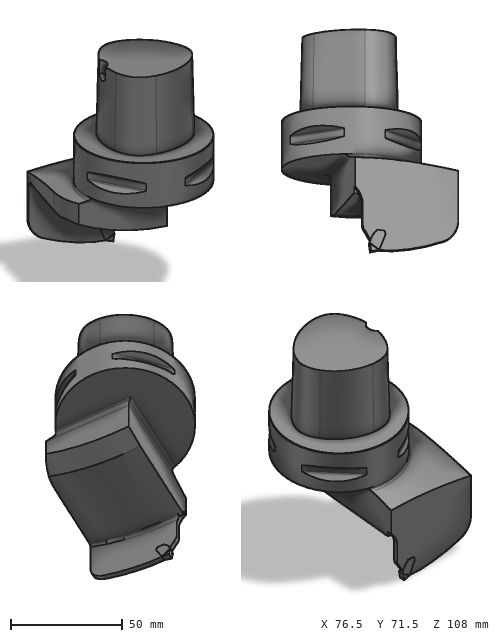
import cadquery as cq
import math


FLANGE_DIAMETER = 63.0
FLANGE_RADIUS = FLANGE_DIAMETER / 2
FLANGE_HEIGHT = 22.0
FLANGE_CHAMFER = 0.2
SLOT_COUNT = 4
SLOT_FIRST_ANGLE = 45
SLOT_CENTER_Z = -12.0
SLOT_FLOOR_WIDTH = 3.7
SLOT_FLOOR_DISTANCE = 27.9
SLOT_WALL_ANGLE = 30
SLOT_FILLET = 0.6

SHANK_HEIGHT = 38.0
SHANK_BASE_RADIUS = 22.1
SHANK_TOP_RADIUS = 21.2
LOBE_HEIGHT = 1.3
LOBE_COUNT = 3
LOBE_FIRST_ANGLE = 90
LOBE_HALF_ANGLE = 35.5
SHANK_CURVE_STEPS = 8

NOTCH_RADIUS = 5.0
NOTCH_DEPTH = 6.5
NOTCH_INNER_Y = -17.5
NOTCH_CONE_HEIGHT = 4.0

ARM_LEFT = -44.6
ARM_RIGHT = 10.7
OVERALL_WIDTH = 71.5
ARM_FRONT = FLANGE_RADIUS - OVERALL_WIDTH
ARM_BACK = 7.5
ARM_BOTTOM = -43.3
ARM_ROUND_START_X = -8.4
ARM_ROUND_RADIUS = 36.7

FLARE_RADIUS = 2.4
FLARE_SIZE = 81.0
FLARE_DEPTH = FLARE_RADIUS + 0.1
FLARE_PLATE_THICKNESS = 1.1

ROOF_ANGLE = 15
ROOF_RING_WIDTH = 0.8
ROOF_RING_HEIGHT = 1.4
ROOF_OUTER_RADIUS = 64.8

UNDERSIDE_FRONT_Z = -34.8
UNDERSIDE_LOW_Y = -1.6
RIDGE_X = -0.4
RIDGE_RISE_ANGLE = 8
RIDGE_TURN_ANGLE = 8

BLADE_THICKNESS = 2.3
BLADE_RIGHT = ARM_LEFT + BLADE_THICKNESS
BLADE_NECK_Z = -40.3
BLADE_BACK = 3.9
BLADE_ROOT_FILLET = 1.5

INSERT_HEEL = (-3.7, -69.1)
INSERT_TIP = (0.1, -70.0)
INSERT_CORNER = (0.6, -66.2)
INSERT_HEAD_OVERHANG = 0.38

CLEARANCE = 10.8
FLOOR_Z = INSERT_TIP[1] - CLEARANCE


def make_flange():
    flange = (
        cq.Workplane("XY")
        .circle(FLANGE_RADIUS)
        .extrude(-FLANGE_HEIGHT)
        .faces(">Z")
        .chamfer(FLANGE_CHAMFER)
    )
    for index in range(SLOT_COUNT):
        angle = SLOT_FIRST_ANGLE + index * 360 / SLOT_COUNT
        flange = flange.cut(make_gripper_slot().rotate((0, 0, 0), (0, 0, 1), angle))
    return flange


def make_gripper_slot():
    """Trapezoidal groove that crosses the +X side of the flange along Y."""
    depth = FLANGE_RADIUS - SLOT_FLOOR_DISTANCE
    half_floor = SLOT_FLOOR_WIDTH / 2
    half_mouth = half_floor + depth * math.tan(math.radians(SLOT_WALL_ANGLE))
    return (
        cq.Workplane("XZ")
        .polyline(
            [
                (SLOT_FLOOR_DISTANCE, SLOT_CENTER_Z - half_floor),
                (FLANGE_RADIUS, SLOT_CENTER_Z - half_mouth),
                (FLANGE_RADIUS, SLOT_CENTER_Z + half_mouth),
                (SLOT_FLOOR_DISTANCE, SLOT_CENTER_Z + half_floor),
            ]
        )
        .close()
        .extrude(FLANGE_RADIUS, both=True)
        .faces("<X")
        .edges("|Y")
        .fillet(SLOT_FILLET)
    )


def shank_point(mean_radius, angle):
    """Point of the lobed outline whose outward normal has the given angle in degrees."""
    normal = math.radians(angle)
    lobe_phase = LOBE_COUNT * math.radians(angle - LOBE_FIRST_ANGLE)
    reach = mean_radius + LOBE_HEIGHT * math.cos(lobe_phase)
    slip = -LOBE_COUNT * LOBE_HEIGHT * math.sin(lobe_phase)
    return cq.Vector(
        reach * math.cos(normal) - slip * math.sin(normal),
        reach * math.sin(normal) + slip * math.cos(normal),
        0,
    )


def shank_curve(mean_radius, start_angle, end_angle):
    """Stretch of the lobed outline between two normal angles."""
    step = (end_angle - start_angle) / SHANK_CURVE_STEPS
    angles = [start_angle + step * index for index in range(SHANK_CURVE_STEPS + 1)]
    return cq.Edge.makeSpline([shank_point(mean_radius, angle) for angle in angles])


def shank_wire(mean_radius, z):
    """Closed outline of alternating lobe and flank curves."""
    pitch = 360 / LOBE_COUNT
    edges = []
    for index in range(LOBE_COUNT):
        center = LOBE_FIRST_ANGLE + index * pitch
        lobe_start = center - LOBE_HALF_ANGLE
        lobe_end = center + LOBE_HALF_ANGLE
        for start, end in ((lobe_start, lobe_end), (lobe_end, lobe_start + pitch)):
            edges.append(shank_curve(mean_radius, start, end))
    return cq.Wire.assembleEdges(edges).translate(cq.Vector(0, 0, z))


def make_shank():
    base = shank_wire(SHANK_BASE_RADIUS, 0)
    top = shank_wire(SHANK_TOP_RADIUS, SHANK_HEIGHT)
    shank = cq.Workplane(cq.Solid.makeLoft([base, top], True))
    return shank.cut(make_notch())


def make_notch():
    shoulder_z = SHANK_HEIGHT - NOTCH_DEPTH
    return (
        cq.Workplane("XZ")
        .polyline(
            [
                (0, SHANK_HEIGHT),
                (NOTCH_RADIUS, SHANK_HEIGHT),
                (NOTCH_RADIUS, shoulder_z),
                (0, shoulder_z - NOTCH_CONE_HEIGHT),
            ]
        )
        .close()
        .revolve(360, (0, 0), (0, 1))
        .translate((0, NOTCH_INNER_Y - NOTCH_RADIUS, 0))
    )


def make_arm_block():
    """Arm outline extruded from its lowest level up to the flange."""
    arc_center_y = ARM_FRONT + ARM_ROUND_RADIUS
    corner_y = arc_center_y - math.sqrt(ARM_ROUND_RADIUS**2 - (ARM_RIGHT - ARM_ROUND_START_X) ** 2)
    return (
        cq.Workplane("XY", origin=(0, 0, ARM_BOTTOM))
        .moveTo(BLADE_RIGHT, ARM_BACK)
        .lineTo(BLADE_RIGHT, ARM_FRONT)
        .lineTo(ARM_ROUND_START_X, ARM_FRONT)
        .tangentArcPoint((ARM_RIGHT, corner_y), relative=False)
        .lineTo(ARM_RIGHT, ARM_BACK)
        .close()
        .extrude(-FLANGE_HEIGHT - ARM_BOTTOM)
    )


def make_flare():
    """Oversized quadrant below a plate, with a concave fillet along its back and right walls.

    The roof trims it, so that only the part right under the flange stays.
    """
    plate = (
        cq.Workplane("XY", origin=(0, 0, -FLANGE_HEIGHT))
        .rect(2 * FLARE_SIZE, 2 * FLARE_SIZE)
        .extrude(FLARE_PLATE_THICKNESS)
    )
    quadrant = (
        cq.Workplane("XY", origin=(ARM_RIGHT, ARM_BACK, -FLANGE_HEIGHT))
        .rect(-FLARE_SIZE, -FLARE_SIZE, centered=False)
        .extrude(-FLARE_DEPTH)
    )
    back_edge = (ARM_RIGHT - FLARE_SIZE / 2, ARM_BACK, -FLANGE_HEIGHT)
    right_edge = (ARM_RIGHT, ARM_BACK - FLARE_SIZE / 2, -FLANGE_HEIGHT)
    concave_edges = cq.selectors.SumSelector(
        cq.selectors.NearestToPointSelector(back_edge),
        cq.selectors.NearestToPointSelector(right_edge),
    )
    return plate.union(quadrant).edges(concave_edges).fillet(FLARE_RADIUS)


def make_roof():
    """Round solid under the flange whose upper side is the cone that caps the arm."""
    ring_radius = FLANGE_RADIUS + ROOF_RING_WIDTH
    ring_z = -FLANGE_HEIGHT - ROOF_RING_HEIGHT
    ring_middle = (FLANGE_RADIUS + 0.2 * ROOF_RING_WIDTH, -FLANGE_HEIGHT - 0.7 * ROOF_RING_HEIGHT)
    outer_z = ring_z - (ROOF_OUTER_RADIUS - ring_radius) * math.tan(math.radians(ROOF_ANGLE))
    return (
        cq.Workplane("XZ")
        .moveTo(0, FLOOR_Z)
        .lineTo(0, -FLANGE_HEIGHT)
        .lineTo(FLANGE_RADIUS, -FLANGE_HEIGHT)
        .threePointArc(ring_middle, (ring_radius, ring_z))
        .lineTo(ROOF_OUTER_RADIUS, outer_z)
        .lineTo(ROOF_OUTER_RADIUS, FLOOR_Z)
        .close()
        .revolve(360, (0, 0), (0, 1))
    )


def make_underside_cutter():
    """Solid below the arc that shapes the underside, longer than the arm along X."""
    run = UNDERSIDE_LOW_Y - ARM_FRONT
    rise = UNDERSIDE_FRONT_Z - ARM_BOTTOM
    radius = (run**2 + rise**2) / (2 * rise)
    center_z = ARM_BOTTOM + radius
    front_y = ARM_FRONT - CLEARANCE
    back_y = ARM_BACK + CLEARANCE

    def arc_z(y):
        return center_z - math.sqrt(radius**2 - (y - UNDERSIDE_LOW_Y) ** 2)

    return (
        cq.Workplane("YZ")
        .moveTo(front_y, FLOOR_Z)
        .lineTo(front_y, arc_z(front_y))
        .threePointArc((UNDERSIDE_LOW_Y, ARM_BOTTOM), (back_y, arc_z(back_y)))
        .lineTo(back_y, FLOOR_Z)
        .close()
        .extrude(ROOF_OUTER_RADIUS, both=True)
    )


def make_ridge_cutter():
    """Underside cutter turned about Z and raised to the right, kept only to the right of the ridge."""
    right_side = (
        cq.Workplane("YZ", origin=(RIDGE_X, 0, 0))
        .rect(2 * ROOF_OUTER_RADIUS, -2 * FLOOR_Z)
        .extrude(ROOF_OUTER_RADIUS)
    )
    return (
        make_underside_cutter()
        .rotate((RIDGE_X, ARM_FRONT, 0), (RIDGE_X, ARM_FRONT, 1), RIDGE_TURN_ANGLE)
        .rotate((RIDGE_X, 0, ARM_BOTTOM), (RIDGE_X, 1, ARM_BOTTOM), -RIDGE_RISE_ANGLE)
        .intersect(right_side)
    )


def make_blade():
    return (
        cq.Workplane("YZ", origin=(ARM_LEFT, 0, 0))
        .moveTo(ARM_BACK, -FLANGE_HEIGHT)
        .lineTo(ARM_BACK, BLADE_NECK_Z)
        .threePointArc((5.3, -43.1), (BLADE_BACK, -47.5))
        .lineTo(BLADE_BACK, -57.7)
        .threePointArc((3.6, -59.3), (2.6, -60.9))
        .lineTo(0.2, -65.0)
        .lineTo(*INSERT_HEEL)
        .lineTo(-10.0, -69.1)
        .threePointArc((-21.9, -67.2), (-32.9, -63.8))
        .threePointArc((-38.0, -60.2), (ARM_FRONT, -54.5))
        .lineTo(ARM_FRONT, -FLANGE_HEIGHT)
        .close()
        .extrude(BLADE_THICKNESS)
    )


def make_arm():
    """Arm and blade in one piece, rounded along their inner corner and capped by the roof."""
    arm = make_arm_block().cut(make_underside_cutter()).cut(make_ridge_cutter()).union(make_blade())
    root = cq.selectors.BoxSelector(
        (BLADE_RIGHT - 0.1, ARM_FRONT, ARM_BOTTOM),
        (BLADE_RIGHT + 0.1, BLADE_BACK, UNDERSIDE_FRONT_Z),
    )
    arm = arm.edges(root).fillet(BLADE_ROOT_FILLET)
    return arm.union(make_flare()).intersect(make_roof())


def make_insert_shank():
    """Part of the insert that is flush with both faces of the blade."""
    return (
        cq.Workplane("YZ", origin=(ARM_LEFT, 0, 0))
        .moveTo(-2.7, -59.9)
        .lineTo(-5.6, -59.9)
        .threePointArc((-6.4, -60.8), (-6.2, -62.7))
        .lineTo(*INSERT_HEEL)
        .lineTo(*INSERT_TIP)
        .lineTo(*INSERT_CORNER)
        .threePointArc((-0.6, -62.4), (-2.7, -59.9))
        .close()
        .extrude(BLADE_THICKNESS)
    )


def make_insert_head():
    """Cutting end of the insert, wider than the blade at the front and tapering to it at the heel."""
    side_outline = (
        cq.Workplane("YZ", origin=(ARM_LEFT - CLEARANCE, 0, 0))
        .polyline([INSERT_CORNER, INSERT_HEEL, INSERT_TIP])
        .close()
        .extrude(BLADE_THICKNESS + 2 * CLEARANCE)
    )
    width_outline = (
        cq.Workplane("XY", origin=(0, 0, FLOOR_Z))
        .polyline(
            [
                (ARM_LEFT - INSERT_HEAD_OVERHANG, INSERT_CORNER[0]),
                (ARM_LEFT, INSERT_HEEL[0]),
                (BLADE_RIGHT, INSERT_HEEL[0]),
                (BLADE_RIGHT + INSERT_HEAD_OVERHANG, INSERT_CORNER[0]),
            ]
        )
        .close()
        .extrude(-FLOOR_Z)
    )
    return side_outline.intersect(width_outline)


def make_housing():
    body = make_flange().union(make_shank()).union(make_arm())
    return body.cut(make_insert_shank())


def make_insert():
    return make_insert_shank().union(make_insert_head())


housing = make_housing()
insert = make_insert()
result = cq.Compound.makeCompound([housing.val(), insert.val()])